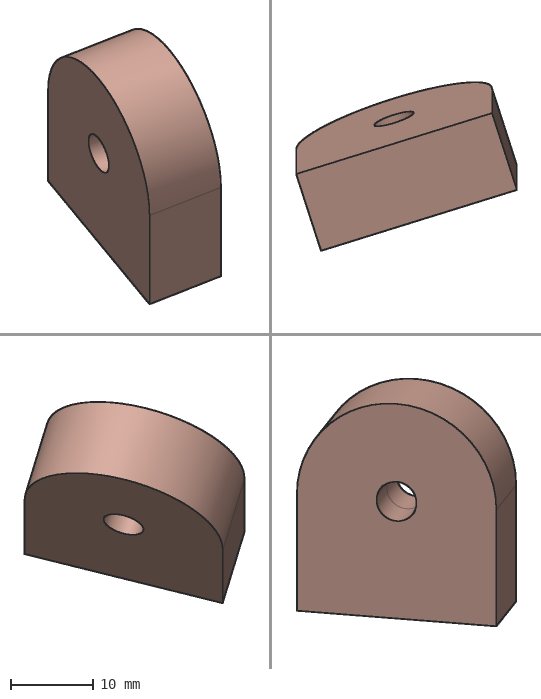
import cadquery as cq

height = 27.5
width = 25.0
thickness = 10.0
hole_diameter = 5.0

top_radius = width / 2
centre_height = height - top_radius

plate = (
    cq.Workplane("XZ")
    .moveTo(-top_radius, 0)
    .lineTo(top_radius, 0)
    .lineTo(top_radius, centre_height)
    .threePointArc((0, height), (-top_radius, centre_height))
    .close()
    .extrude(thickness / 2, both=True)
)

hole = (
    cq.Workplane("XZ")
    .center(0, centre_height)
    .circle(hole_diameter / 2)
    .extrude(thickness, both=True)
)

result = plate.cut(hole)